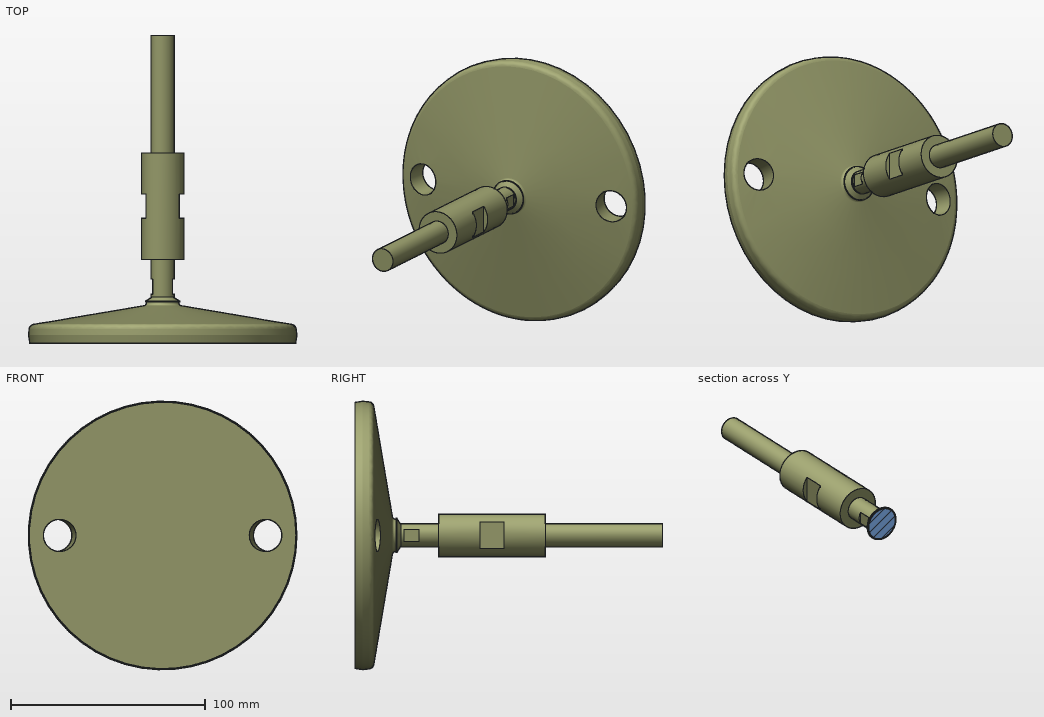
import cadquery as cq
import math

TOTAL_HEIGHT = 158.0
SELECT_TOLERANCE = 0.02

RIM_DIAMETER = 138.0
RIM_DRAFT_INSET = 0.6
WIDEST_HEIGHT = 4.1
CONE_EDGE_HEIGHT = 9.5
CONE_TOP_HEIGHT = 19.6
NECK_RADIUS = 8.4
NECK_HEIGHT = 21.2
RIM_ROUND = 2.8
NECK_FILLET = 1.5

HOLE_DIAMETER = 16.5
HOLE_OFFSET = 52.8
DRILL_OVERRUN = 15.8

ROD_DIAMETER = 12.0
COLLAR_RADIUS = 8.8
COLLAR_TIP_RADIUS = 5.5
COLLAR_EDGE = 0.5
COLLAR_TOP = 23.7
SPINDLE_FLATS_START = 25.3
SPINDLE_FLATS_END = 33.0
SPINDLE_ACROSS_FLATS = 10.3

SLEEVE_DIAMETER = 22.0
SLEEVE_START = 43.0
SLEEVE_LENGTH = 54.8
SLEEVE_FLATS_LENGTH = 12.3
SLEEVE_ACROSS_FLATS = 17.2


def turned(profile):
    """Revolve a closed (radius, height) outline around the Y axis."""
    return cq.Workplane("XY").polyline(profile).close().revolve(360, (0, 0), (0, 1))


def cylinder(diameter, start, end):
    """Solid cylinder on the Y axis between two heights."""
    radius = diameter / 2
    return turned([(0, start), (radius, start), (radius, end), (0, end)])


def cut_flats(body, diameter, across, start, end):
    """Cut two wrench flats, facing -X and +X, between two heights."""
    depth = (diameter - across) / 2
    for side in (-1, 1):
        cutter = cq.Workplane("XY").box(2 * depth, end - start, diameter)
        body = body.cut(cutter.translate((side * (across / 2 + depth), (start + end) / 2, 0)))
    return body


def circle_at(height):
    """Box selector for the circular edge of the base at a height."""
    reach = RIM_DIAMETER / 2
    low_corner = (-reach, height - SELECT_TOLERANCE, -reach)
    high_corner = (reach, height + SELECT_TOLERANCE, reach)
    return cq.selectors.BoxSelector(low_corner, high_corner, boundingbox=True)


def make_base():
    rim_radius = RIM_DIAMETER / 2
    drafted_radius = rim_radius - RIM_DRAFT_INSET
    base = turned([
        (0, 0),
        (drafted_radius, 0),
        (rim_radius, WIDEST_HEIGHT),
        (drafted_radius, CONE_EDGE_HEIGHT),
        (NECK_RADIUS, CONE_TOP_HEIGHT),
        (NECK_RADIUS, NECK_HEIGHT),
        (0, NECK_HEIGHT),
    ])
    base = base.edges(circle_at(CONE_EDGE_HEIGHT)).fillet(RIM_ROUND)
    base = base.edges(circle_at(CONE_TOP_HEIGHT)).fillet(NECK_FILLET)

    cone_angle = math.atan2(CONE_TOP_HEIGHT - CONE_EDGE_HEIGHT, drafted_radius - NECK_RADIUS)
    drill_length = CONE_TOP_HEIGHT + 2 * DRILL_OVERRUN
    for side in (-1, 1):
        direction = cq.Vector(side * math.sin(cone_angle), math.cos(cone_angle), 0)
        start = cq.Vector(side * HOLE_OFFSET, 0, 0) - direction * DRILL_OVERRUN
        drill = cq.Solid.makeCylinder(HOLE_DIAMETER / 2, drill_length, start, direction)
        base = base.cut(cq.Workplane(drill))
    return base


def make_spindle():
    """Rod with a bevelled collar that rests on the neck of the base."""
    rod_radius = ROD_DIAMETER / 2
    spindle = turned([
        (0, NECK_HEIGHT),
        (COLLAR_RADIUS, NECK_HEIGHT),
        (COLLAR_RADIUS, NECK_HEIGHT + COLLAR_EDGE),
        (COLLAR_TIP_RADIUS, COLLAR_TOP),
        (rod_radius, COLLAR_TOP),
        (rod_radius, TOTAL_HEIGHT),
        (0, TOTAL_HEIGHT),
    ])
    return cut_flats(spindle, ROD_DIAMETER, SPINDLE_ACROSS_FLATS, SPINDLE_FLATS_START, SPINDLE_FLATS_END)


def make_sleeve():
    """Tube around the rod with wrench flats at mid-length."""
    end = SLEEVE_START + SLEEVE_LENGTH
    middle = (SLEEVE_START + end) / 2
    half_flat = SLEEVE_FLATS_LENGTH / 2
    sleeve = cylinder(SLEEVE_DIAMETER, SLEEVE_START, end).cut(cylinder(ROD_DIAMETER, SLEEVE_START, end))
    return cut_flats(sleeve, SLEEVE_DIAMETER, SLEEVE_ACROSS_FLATS, middle - half_flat, middle + half_flat)


base = make_base()
spindle = make_spindle()
sleeve = make_sleeve()
result = cq.Compound.makeCompound([base.val(), spindle.val(), sleeve.val()])